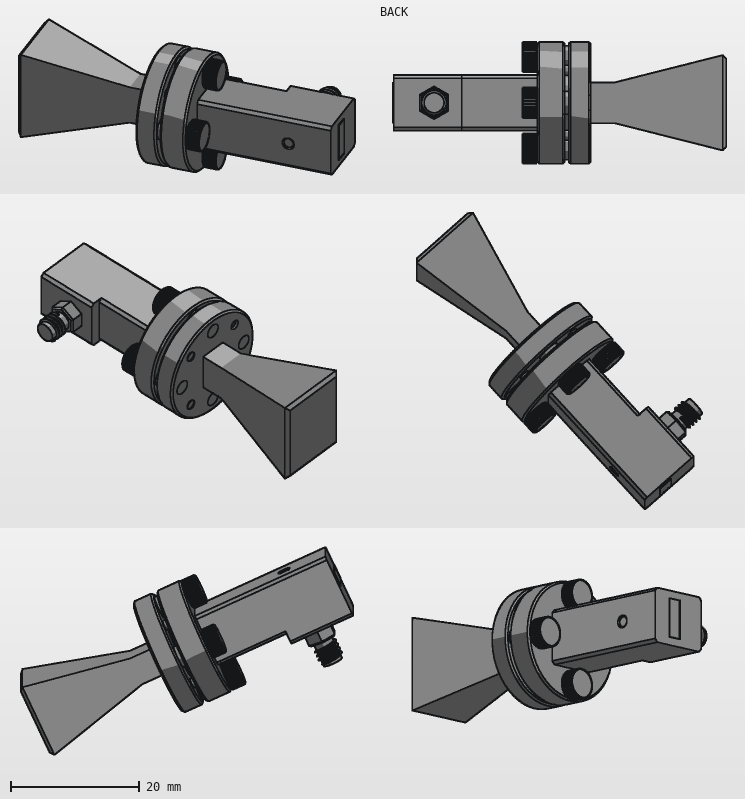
import cadquery as cq
import math


mouth_width = 11.9
mouth_height = 14.9
mouth_chamfer = 0.55
guide_width = 4.55
guide_height = 6.4
flare_end_x = 17.4

flange_radius = 9.55
flange_chamfer = 0.3
horn_flange_x = 21.2
horn_flange_thickness = 3.45
flange_gap = 0.6
adapter_flange_thickness = 4.2
boss_radius = 4.75
horn_flange_end_x = horn_flange_x + horn_flange_thickness
adapter_flange_x = horn_flange_end_x + flange_gap
adapter_flange_end_x = adapter_flange_x + adapter_flange_thickness

pitch_radius = 7.15
screw_angles = [0, 90, 180, 270]
pin_angles = [45, 135, 225, 315]
pin_radius = 0.8
pin_recess = 0.15
deep_pin_angle = 135
deep_pin_recess = 0.45

tip_radius = 1.2
shank_radius = 1.75
collar_radius = 2.15
collar_thickness = 0.2
knob_radius = 2.4
knob_length = 2.05
knurl_count = 32
knurl_depth = 0.15
knurl_half_width = 0.1
rim_length = 0.15

block_front_y = -4.25
block_low_y = 4.3
block_high_y = 6.1
block_height = 8.75
block_step_x = 41.3
block_end_x = 51.95
block_chamfer = 0.5

pad_width = 2.3
pad_height = 6.2
pad_thickness = 0.15

dimple_x = 44.8
dimple_radius = 1.0
dimple_depth = 0.2
dimple_taper = 45

connector_x = 45.65
hex_sides = 6
hex_across_flats = 4.45
hex_length = 2.2
hex_chamfer = 0.25
barrel_radius = 1.55
connector_end_y = 12.15
thread_radius = 1.95
thread_pitch = 0.7
thread_start_y = 9.0
thread_start_angle = -90
thread_length = 2.55
thread_root_half_width = 0.25
thread_crest_half_width = 0.05
thread_root_embed = 0.1


def pitch_point(angle):
    """Y and Z of a place on the pitch circle, with the angle counted from +Y toward +Z."""
    turn = math.radians(angle)
    return pitch_radius * math.cos(turn), pitch_radius * math.sin(turn)


def disc(start_x, end_x, radius, center=(0, 0)):
    """Cylinder along X."""
    return cq.Workplane("YZ", origin=(start_x, *center)).circle(radius).extrude(end_x - start_x)


def make_horn():
    rim_inset = 2 * mouth_chamfer
    rim = (
        cq.Workplane("YZ")
        .rect(mouth_width - rim_inset, mouth_height - rim_inset)
        .workplane(offset=mouth_chamfer)
        .rect(mouth_width, mouth_height)
        .loft(ruled=True)
    )
    flare = (
        cq.Workplane("YZ", origin=(mouth_chamfer, 0, 0))
        .rect(mouth_width, mouth_height)
        .workplane(offset=flare_end_x - mouth_chamfer)
        .rect(guide_width, guide_height)
        .loft(ruled=True)
    )
    guide = (
        cq.Workplane("YZ", origin=(flare_end_x, 0, 0))
        .rect(guide_width, guide_height)
        .extrude(horn_flange_x - flare_end_x)
    )
    return rim.union(flare).union(guide)


def make_flanges():
    """Two flanges joined by the central boss, with screw holes and alignment pins."""
    horn_flange = disc(horn_flange_x, horn_flange_end_x, flange_radius).edges().chamfer(flange_chamfer)
    adapter_flange = disc(adapter_flange_x, adapter_flange_end_x, flange_radius)
    adapter_flange = adapter_flange.edges().chamfer(flange_chamfer)
    flanges = horn_flange.union(adapter_flange)
    flanges = flanges.union(disc(horn_flange_end_x, adapter_flange_x, boss_radius))
    for angle in screw_angles:
        center = pitch_point(angle)
        flanges = flanges.cut(disc(horn_flange_x, horn_flange_end_x, tip_radius, center))
        flanges = flanges.cut(disc(horn_flange_end_x, adapter_flange_end_x, shank_radius, center))
    for angle in pin_angles:
        center = pitch_point(angle)
        recess = deep_pin_recess if angle == deep_pin_angle else pin_recess
        flanges = flanges.union(disc(horn_flange_end_x, adapter_flange_x, pin_radius, center))
        flanges = flanges.cut(disc(horn_flange_x, horn_flange_x + recess, pin_radius, center))
    return flanges


def make_block():
    """Stepped block with chamfered long edges, an end pad and a conical dimple."""

    def chamfered_bar(start_x, back_y):
        return (
            cq.Workplane("XY", origin=(0, 0, -block_height / 2))
            .moveTo(start_x, block_front_y)
            .lineTo(block_end_x, block_front_y)
            .lineTo(block_end_x, back_y)
            .lineTo(start_x, back_y)
            .close()
            .extrude(block_height)
            .edges("|X")
            .chamfer(block_chamfer)
        )

    block = chamfered_bar(adapter_flange_end_x, block_low_y).union(chamfered_bar(block_step_x, block_high_y))
    pad = (
        cq.Workplane("YZ", origin=(block_end_x, 0, 0))
        .rect(pad_width, pad_height)
        .extrude(pad_thickness)
    )
    dimple = (
        cq.Workplane("XZ", origin=(dimple_x, block_front_y, 0))
        .circle(dimple_radius)
        .extrude(-dimple_depth, taper=dimple_taper)
    )
    return block.union(pad).cut(dimple)


def make_thread():
    """Helical ridge around Z, climbing from z = 0."""
    root_radius = barrel_radius - thread_root_embed
    path = cq.Wire.makeHelix(thread_pitch, thread_length, root_radius)
    return (
        cq.Workplane("XZ")
        .moveTo(root_radius, -thread_root_half_width)
        .lineTo(thread_radius, -thread_crest_half_width)
        .lineTo(thread_radius, thread_crest_half_width)
        .lineTo(root_radius, thread_root_half_width)
        .close()
        .sweep(cq.Workplane(obj=path), isFrenet=True)
        .rotate((0, 0, 0), (0, 0, 1), thread_start_angle)
    )


def make_connector():
    """Hex base and threaded barrel, built along Z and then turned to point along +Y."""
    across_corners = hex_across_flats / math.cos(math.pi / hex_sides)
    barrel_length = connector_end_y - block_high_y
    hex_base = (
        cq.Workplane("XY")
        .polygon(hex_sides, across_corners)
        .extrude(hex_length)
        .rotate((0, 0, 0), (0, 0, 1), 180 / hex_sides)
        .faces(">Z")
        .chamfer(hex_chamfer)
    )
    barrel = cq.Workplane("XY").circle(barrel_radius).extrude(barrel_length)
    thread = make_thread().translate((0, 0, thread_start_y - block_high_y))
    return (
        hex_base.union(barrel)
        .union(thread)
        .rotate((0, 0, 0), (1, 0, 0), -90)
        .translate((connector_x, block_high_y, 0))
    )


def make_screw(angle):
    """Thumb screw with a stepped shank and a knurled knob."""
    knob_x = adapter_flange_end_x + collar_thickness
    knob_end_x = knob_x + knob_length
    knob = disc(knob_x, knob_end_x, knob_radius)
    groove = (
        cq.Workplane("YZ", origin=(knob_x, 0, 0))
        .moveTo(knob_radius - knurl_depth, 0)
        .lineTo(knob_radius, knurl_half_width)
        .lineTo(knob_radius + knurl_depth, 0)
        .lineTo(knob_radius, -knurl_half_width)
        .close()
        .extrude(knob_length)
    )
    knurl_step = 360 / knurl_count
    for index in range(knurl_count):
        knob = knob.cut(groove.rotate((0, 0, 0), (1, 0, 0), (index + 0.5) * knurl_step))
    screw = (
        disc(horn_flange_x, horn_flange_end_x, tip_radius)
        .union(disc(horn_flange_end_x, adapter_flange_end_x, shank_radius))
        .union(disc(adapter_flange_end_x, knob_x, collar_radius))
        .union(knob)
        .union(disc(knob_end_x, knob_end_x + rim_length, knob_radius - knurl_depth))
    )
    return screw.translate((0, *pitch_point(angle)))


antenna = make_horn().union(make_flanges()).union(make_block()).union(make_connector())
screws = [make_screw(angle) for angle in screw_angles]

result = cq.Compound.makeCompound([antenna.val(), *[screw.val() for screw in screws]])